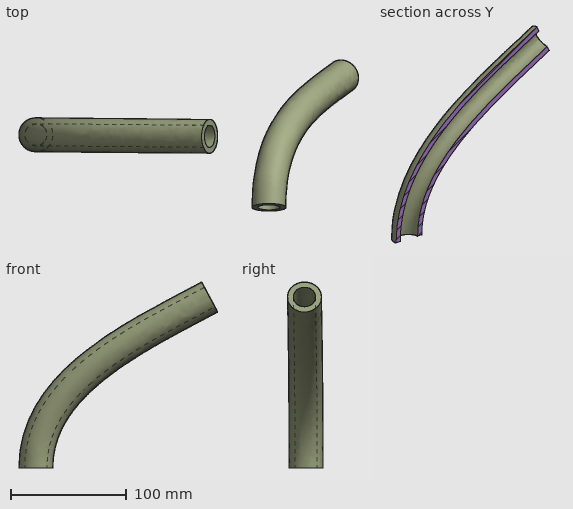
import cadquery as cq
import math

OUTER_DIAMETER = 29.46
BORE_DIAMETER = 19.05

END_REACH = 150.0
END_HEIGHT = 147.6
END_CLIMB_ANGLE = 28.2
START_HANDLE = 74.2
END_HANDLE = 72.3

END_DRIFT = 1.33


def bend_centreline():
    """Cubic Bezier centreline, lying in a vertical plane through the Z axis."""
    climb = math.radians(END_CLIMB_ANGLE)
    drift_angle = math.atan2(END_DRIFT, END_REACH)

    def in_bend_plane(reach, height):
        return cq.Vector(reach * math.cos(drift_angle), -reach * math.sin(drift_angle), height)

    control_points = [
        in_bend_plane(0, 0),
        in_bend_plane(0, START_HANDLE),
        in_bend_plane(
            END_REACH - END_HANDLE * math.cos(climb),
            END_HEIGHT - END_HANDLE * math.sin(climb),
        ),
        in_bend_plane(END_REACH, END_HEIGHT),
    ]
    return cq.Workplane("XY").bezier(control_points)


def bent_tube(outer_diameter, bore_diameter, centreline):
    """Ring section swept square to the centreline, leaving both ends open."""
    ring = cq.Workplane("XY").circle(outer_diameter / 2).circle(bore_diameter / 2)
    return ring.sweep(centreline)


result = bent_tube(OUTER_DIAMETER, BORE_DIAMETER, bend_centreline())